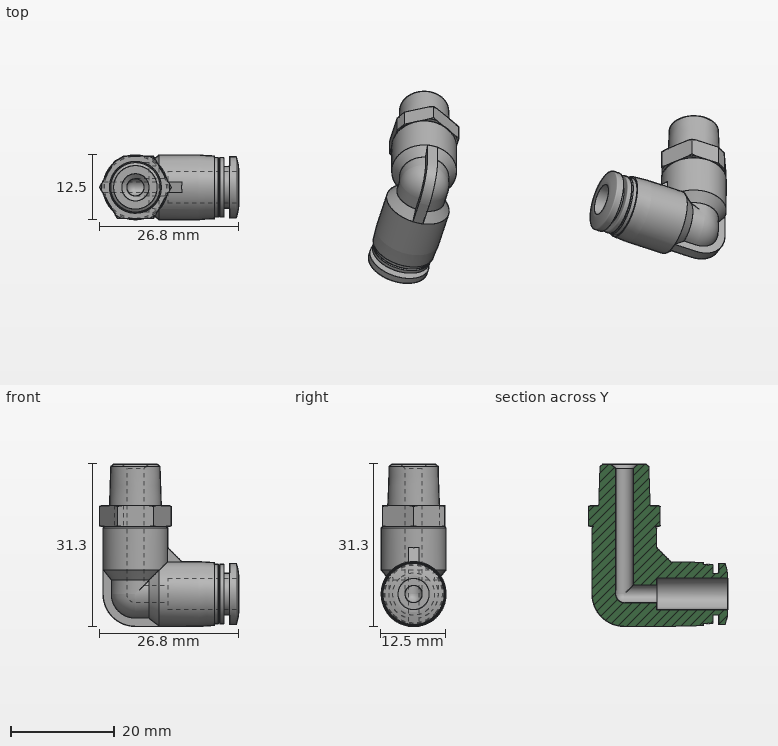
import cadquery as cq
import math


body_r = 6.25
elbow_r = 4.75
stud_cone_start = 2.75
stud_cone_end = 4.65
tube_cone_start = 2.6
tube_cone_end = 4.55
body_top = 13.0
body_chamfer = 0.28
web_width = 2.0
gusset_reach = 15.15

hex_flats = 12.0
hex_top = 17.0
hex_edge_drop = 0.15
hex_bevel_inset = 0.38
cut_corner_distance = 6.35
cut_corner_angle = 120

stud_top = 25.0
stud_base_r = 5.0
stud_tip_r = 4.75
stud_chamfer_height = 0.45
stud_face_r = 4.2

taper_start = 12.22
taper_end = 15.2
taper_end_r = 6.05
ring_r = 11.5 / 2
groove_middle = 16.12
groove_half_width = 0.2
groove_depth = 0.22
ring_end = 17.1
ring_fillet = 0.25
neck_r = 8.1 / 2
neck_fillet = 0.15
flange_start = 18.12
flange_r = 11.8 / 2
flange_rim_end = 19.25
flange_end = 19.9
flange_edge_x = 19.47
flange_edge_drop = 0.15
flange_face_r = 3.5

bore_r = 3.3 / 2
countersink_r = 2.62
countersink_depth = 0.8
tube_r = 6.0 / 2
tube_stop = 6.25


def revolve_z(profile):
    """Revolve a closed (radius, z) profile drawn in the XZ plane about Z."""
    return profile.revolve(360, (0, 0, 0), (0, 1, 0))


def revolve_x(profile):
    """Revolve a closed (x, radius) profile drawn in the XZ plane about X."""
    return profile.revolve(360, (0, 0, 0), (1, 0, 0))


def stud_branch():
    """Elbow branch along Z, up to the underside of the hexagon."""
    return revolve_z(
        cq.Workplane("XZ")
        .polyline([
            (0, 0),
            (elbow_r, 0),
            (elbow_r, stud_cone_start),
            (body_r, stud_cone_end),
            (body_r, body_top - body_chamfer),
            (body_r - body_chamfer, body_top),
            (0, body_top),
        ])
        .close()
    )


def tube_branch():
    """Elbow branch along X with the tapered end, the rings and the release collar."""
    flange_edge_r = flange_r - flange_edge_drop
    ring_arc_offset = ring_fillet * (1 - math.sqrt(0.5))
    neck_arc_offset = neck_fillet * (1 - math.sqrt(0.5))
    return revolve_x(
        cq.Workplane("XZ")
        .polyline([
            (0, 0),
            (0, elbow_r),
            (tube_cone_start, elbow_r),
            (tube_cone_end, body_r),
            (taper_start, body_r),
            (taper_end, taper_end_r),
            (taper_end, ring_r),
            (groove_middle - groove_half_width, ring_r),
            (groove_middle, ring_r - groove_depth),
            (groove_middle + groove_half_width, ring_r),
            (ring_end - ring_fillet, ring_r),
        ])
        .threePointArc(
            (ring_end - ring_arc_offset, ring_r - ring_arc_offset),
            (ring_end, ring_r - ring_fillet),
        )
        .lineTo(ring_end, neck_r)
        .lineTo(flange_start - neck_fillet, neck_r)
        .threePointArc(
            (flange_start - neck_arc_offset, neck_r + neck_arc_offset),
            (flange_start, neck_r + neck_fillet),
        )
        .lineTo(flange_start, flange_r)
        .lineTo(flange_rim_end, flange_r)
        .tangentArcPoint((flange_edge_x, flange_edge_r), relative=False)
        .tangentArcPoint((flange_end, flange_face_r), relative=False)
        .lineTo(flange_end, 0)
        .close()
    )


def outer_web():
    """Flat web around the outside of the bend."""
    arc_middle = -body_r * math.sqrt(0.5)
    return (
        cq.Workplane("XZ")
        .moveTo(0, stud_cone_end)
        .lineTo(-body_r, stud_cone_end)
        .lineTo(-body_r, 0)
        .threePointArc((arc_middle, arc_middle), (0, -body_r))
        .lineTo(tube_cone_end, -body_r)
        .lineTo(tube_cone_end, 0)
        .lineTo(0, 0)
        .close()
        .extrude(web_width / 2, both=True)
    )


def inner_gusset():
    """Triangular gusset in the inside corner of the bend."""
    return (
        cq.Workplane("XZ")
        .polyline([
            (tube_cone_end, stud_cone_end),
            (gusset_reach - stud_cone_end, stud_cone_end),
            (tube_cone_end, gusset_reach - tube_cone_end),
        ])
        .close()
        .extrude(web_width / 2, both=True)
    )


def hexagon():
    """Hexagon with bevelled corners and one corner cut flat."""
    corner_r = hex_flats / math.sqrt(3)
    height = hex_top - body_top
    prism = (
        cq.Workplane("XY")
        .workplane(offset=body_top)
        .polygon(6, 2 * corner_r)
        .extrude(height)
    )
    bevel = revolve_z(
        cq.Workplane("XZ")
        .polyline([
            (0, body_top),
            (corner_r - hex_bevel_inset, body_top),
            (corner_r, body_top + hex_edge_drop),
            (corner_r, hex_top - hex_edge_drop),
            (corner_r - hex_bevel_inset, hex_top),
            (0, hex_top),
        ])
        .close()
    )
    corner_block = (
        cq.Workplane("XY")
        .box(corner_r, corner_r, height, centered=(False, True, False))
        .translate((cut_corner_distance, 0, body_top))
        .rotate((0, 0, 0), (0, 0, 1), cut_corner_angle)
    )
    return prism.intersect(bevel).cut(corner_block)


def stud():
    """Tapered stud with a chamfered tip."""
    return revolve_z(
        cq.Workplane("XZ")
        .polyline([
            (0, hex_top),
            (stud_base_r, hex_top),
            (stud_tip_r, stud_top - stud_chamfer_height),
            (stud_face_r, stud_top),
            (0, stud_top),
        ])
        .close()
    )


def passages():
    """Countersunk stud bore, rounded bend and stepped tube bore."""
    stud_bore = revolve_z(
        cq.Workplane("XZ")
        .polyline([
            (0, 0),
            (bore_r, 0),
            (bore_r, stud_top - countersink_depth),
            (countersink_r, stud_top),
            (0, stud_top),
        ])
        .close()
    )
    tube_bore = revolve_x(
        cq.Workplane("XZ")
        .polyline([
            (0, 0),
            (0, bore_r),
            (tube_stop, bore_r),
            (tube_stop, tube_r),
            (flange_end, tube_r),
            (flange_end, 0),
        ])
        .close()
    )
    return stud_bore.union(tube_bore).union(cq.Workplane("XY").sphere(bore_r))


result = (
    stud_branch()
    .union(tube_branch())
    .union(cq.Workplane("XY").sphere(elbow_r))
    .union(outer_web())
    .union(inner_gusset())
    .union(hexagon())
    .union(stud())
    .cut(passages())
)